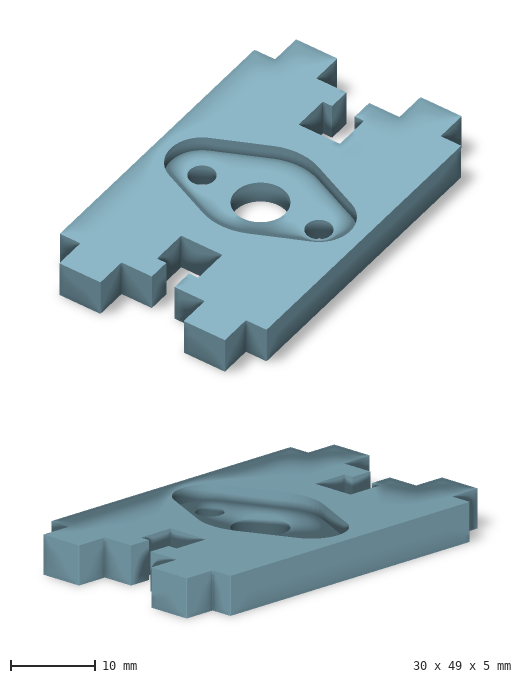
import cadquery as cq
import math

total_length = 49.0
plate_width = 30.0
thickness = 5.0
tab_length = 4.35
tab_width = 6.0
tab_offset = 9.0
corner_radius = 0.1
body_length = total_length - 2 * tab_length

slot_width = 3.3
slot_depth = 3.0
nut_width = 6.0
nut_length = 5.0

pocket_depth = 2.0
pocket_middle_radius = 8.0
pocket_end_radius = 4.5
screw_offset = 8.5
screw_diameter = 3.5
shaft_diameter = 7.1


def make_plate():
    """Plate with two tabs on each end; every upright corner is slightly rounded."""
    body = cq.Workplane("XY").box(plate_width, body_length, thickness)
    for x in (-tab_offset, tab_offset):
        tab = cq.Workplane("XY").box(tab_width, total_length, thickness)
        body = body.union(tab.translate((x, 0, 0)))
    return body.edges("|Z").fillet(corner_radius)


def make_nut_slot(side):
    """T-slot cutter: narrow entry from the end edge, then a wider nut seat."""
    edge = body_length / 2
    entry = cq.Workplane("XY").box(slot_width, slot_depth, thickness)
    seat = cq.Workplane("XY").box(nut_width, nut_length, thickness)
    entry = entry.translate((0, side * (edge - slot_depth / 2), 0))
    seat = seat.translate((0, side * (edge - slot_depth - nut_length / 2), 0))
    return entry.union(seat)


def make_pocket():
    """Pocket cutter: three rounds joined by their common outer tangents."""
    normal_x = (pocket_middle_radius - pocket_end_radius) / screw_offset
    normal_y = math.sqrt(1 - normal_x**2)
    middle_x = pocket_middle_radius * normal_x
    middle_y = pocket_middle_radius * normal_y
    end_x = screw_offset + pocket_end_radius * normal_x
    end_y = pocket_end_radius * normal_y
    tip_x = screw_offset + pocket_end_radius
    return (
        cq.Workplane("XY", origin=(0, 0, thickness / 2 - pocket_depth))
        .moveTo(-middle_x, middle_y)
        .threePointArc((0, pocket_middle_radius), (middle_x, middle_y))
        .lineTo(end_x, end_y)
        .threePointArc((tip_x, 0), (end_x, -end_y))
        .lineTo(middle_x, -middle_y)
        .threePointArc((0, -pocket_middle_radius), (-middle_x, -middle_y))
        .lineTo(-end_x, -end_y)
        .threePointArc((-tip_x, 0), (-end_x, end_y))
        .close()
        .extrude(pocket_depth)
    )


def make_hole(x, diameter):
    """Through-hole cutter on the X axis."""
    return cq.Workplane("XY").center(x, 0).circle(diameter / 2).extrude(thickness, both=True)


result = make_plate().cut(make_pocket())
for side in (-1, 1):
    result = result.cut(make_nut_slot(side))
    result = result.cut(make_hole(side * screw_offset, screw_diameter))
result = result.cut(make_hole(0, shaft_diameter))